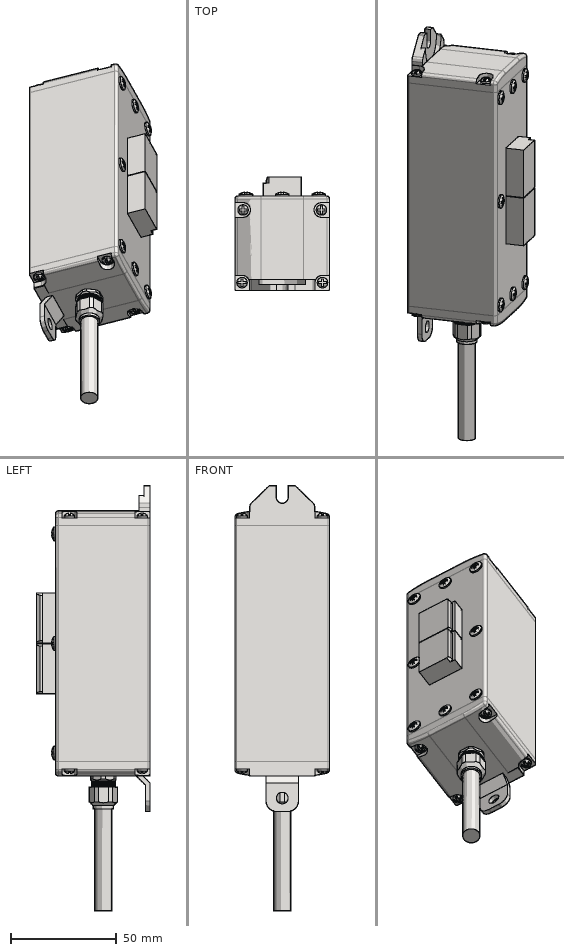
import cadquery as cq
import math

WIDTH = 45.0
DEPTH = 45.0
HEIGHT = 126.0
CAP_HEIGHT = 7.0
FRONT_EDGE_RADIUS = 0.9
BACK_EDGE_RADIUS = 1.6

CROWN_FLAT_HALF = 10.0
CROWN_RADIUS = 45.0
CAP_EDGE_RADIUS = 1.8

CAP_SCREW_DIAMETER = 5.0
CAP_SCREW_HEIGHT = 2.4
FRONT_SCREW_X = 19.1
FRONT_SCREW_Y = 3.8
BACK_SCREW_X = 18.6
BACK_SCREW_Y = 38.3
RECESS_RADIUS = 3.5
RECESS_DEPTH = 3.5

SCREW_RIM = 0.4
CROSS_LENGTH = 3.6
CROSS_WIDTH = 1.0
CROSS_DEPTH = 1.2

COVER_SCREW_DIAMETER = 6.6
COVER_SCREW_HEIGHT = 1.8
COVER_SCREW_X = 17.3
COVER_SCREW_Z = 52.0

LUG_HEIGHT = 11.9
LUG_THICKNESS = 5.3
LUG_HALF_WIDTH = 15.5
LUG_TOP_HALF_WIDTH = 6.1
LUG_SHOULDER = 2.8
LUG_SHOULDER_RADIUS = 3.0
LUG_TOP_RADIUS = 1.0
MOUNT_HOLE_DIAMETER = 5.5
SLOT_CENTRE_DROP = 5.6
COUNTERBORE_RADIUS = 11.0
LUG_THIN = 3.0

BRACKET_WIDTH = 15.5
BRACKET_THICKNESS = 2.3
BRACKET_LENGTH = 16.8
BRACKET_OFFSET = 3.3
BRACKET_CORNER_RADIUS = 5.0
BRACKET_HOLE_DROP = 10.4

GLAND_Y = 22.2
COLLAR_ACROSS_FLATS = 12.2
COLLAR_END = 2.2
COLLAR_DIAMETER = 13.0
COLLAR_TAPER = 0.8
NECK_DIAMETER = 11.4
NECK_GROOVE_COUNT = 3
NECK_GROOVE_WIDTH = 0.5
NECK_GROOVE_DEPTH = 0.4
NUT_START = 5.2
NUT_END = 14.3
NUT_ACROSS_FLATS = 12.6
NUT_DIAMETER = 13.5
NUT_TAPER = 2.1
RING_DIAMETER = 9.8
RING_END = 15.5
CABLE_DIAMETER = 8.2
CABLE_LENGTH = 64.0

BLOCK_HALF_WIDTH = 9.1
BLOCK_BASE_HEIGHT = 6.0
BLOCK_HEIGHT = 9.0
BLOCK_STEP = 1.5
BLOCK_LENGTH = 48.0
BLOCK_GAP = 0.3
PAD_CORNER = 1.2
PAD_BEVEL_DEPTH = 1.8
PAD_BEVEL_WIDTH = 0.6

MIDDLE_Z = HEIGHT / 2
SLOT_CENTRE_Z = HEIGHT + LUG_HEIGHT - SLOT_CENTRE_DROP


def rounded_prism(bottom, height):
    """Housing section with rounded upright edges."""
    prism = cq.Workplane("XY").box(WIDTH, DEPTH, height, centered=(True, False, False))
    prism = prism.edges("|Z and <Y").fillet(FRONT_EDGE_RADIUS)
    prism = prism.edges("|Z and >Y").fillet(BACK_EDGE_RADIUS)
    return prism.translate((0, 0, bottom))


def y_cylinder(radius, x, z, y_start, y_end):
    """Cylinder along Y between two Y positions."""
    cylinder = cq.Workplane("XZ").circle(radius).extrude(y_start - y_end)
    return cylinder.translate((x, y_start, z))


def recess(x, y, open_to_front):
    """Round pocket running out through the nearest side and, if asked, the front."""
    reach = WIDTH / 2
    side = math.copysign(1, x)
    size = 2 * RECESS_RADIUS
    tool = cq.Workplane("XY").circle(RECESS_RADIUS).extrude(RECESS_DEPTH)
    to_side = cq.Workplane("XY").box(reach, size, RECESS_DEPTH, centered=(True, True, False))
    tool = tool.union(to_side.translate((side * reach / 2, 0, 0)))
    if open_to_front:
        to_front = cq.Workplane("XY").box(size, reach, RECESS_DEPTH, centered=(True, True, False))
        tool = tool.union(to_front.translate((0, -reach / 2, 0)))
        corner = cq.Workplane("XY").box(reach, reach, RECESS_DEPTH, centered=(True, True, False))
        tool = tool.union(corner.translate((side * reach / 2, -reach / 2, 0)))
    return tool.translate((x, y, HEIGHT - RECESS_DEPTH))


def screw_head(diameter, height):
    """Domed screw head with a cross recess, standing on Z = 0."""
    radius = diameter / 2
    rim = SCREW_RIM * height
    dome_radius = (radius**2 + (height - rim) ** 2) / (2 * (height - rim))
    dome = cq.Workplane("XY").sphere(dome_radius).translate((0, 0, height - dome_radius))
    head = cq.Workplane("XY").circle(radius).extrude(height).intersect(dome)
    bar = cq.Workplane("XY").box(CROSS_LENGTH, CROSS_WIDTH, 2 * CROSS_DEPTH)
    cross = bar.union(bar.rotate((0, 0, 0), (0, 0, 1), 90))
    return head.cut(cross.translate((0, 0, height)))


def upper_cap():
    """Crowned end cap with a flush pad at the mounting face and four recessed screws."""
    half = WIDTH / 2
    angle = math.asin((half - CROWN_FLAT_HALF) / CROWN_RADIUS)
    side_z = HEIGHT - CROWN_RADIUS * (1 - math.cos(angle))
    mid_x = CROWN_FLAT_HALF + CROWN_RADIUS * math.sin(angle / 2)
    mid_z = HEIGHT - CROWN_RADIUS * (1 - math.cos(angle / 2))
    base_z = HEIGHT - CAP_HEIGHT
    crown = (
        cq.Workplane("XZ")
        .moveTo(-half, base_z)
        .lineTo(half, base_z)
        .lineTo(half, side_z)
        .threePointArc((mid_x, mid_z), (CROWN_FLAT_HALF, HEIGHT))
        .lineTo(-CROWN_FLAT_HALF, HEIGHT)
        .threePointArc((-mid_x, mid_z), (-half, side_z))
        .close()
        .extrude(-DEPTH)
    )
    cap = crown.edges("|Y").edges(">X or <X").edges("not <Z").fillet(CAP_EDGE_RADIUS)
    cap = cap.faces(">Y").edges("not <Z").fillet(BACK_EDGE_RADIUS)
    cap = cap.faces("<Y").edges("not <Z").fillet(FRONT_EDGE_RADIUS)
    pad = cq.Workplane("XY").box(
        2 * LUG_HALF_WIDTH, LUG_THICKNESS, CAP_HEIGHT, centered=(True, False, False)
    )
    cap = cap.union(pad.translate((0, 0, base_z)))
    screw_places = (
        (FRONT_SCREW_X, FRONT_SCREW_Y, True),
        (BACK_SCREW_X, BACK_SCREW_Y, False),
    )
    head = screw_head(CAP_SCREW_DIAMETER, CAP_SCREW_HEIGHT)
    for side in (-1, 1):
        for x, y, at_front in screw_places:
            cap = cap.cut(recess(side * x, y, at_front))
            cap = cap.union(head.translate((side * x, y, HEIGHT - RECESS_DEPTH)))
    return cap


def lug():
    """Upper mounting plate, flush with the mounting face."""
    top_z = HEIGHT + LUG_HEIGHT
    shoulder_z = HEIGHT + LUG_SHOULDER
    base_z = HEIGHT - RECESS_DEPTH
    outline = [
        (-LUG_HALF_WIDTH, base_z),
        (LUG_HALF_WIDTH, base_z),
        (LUG_HALF_WIDTH, shoulder_z),
        (LUG_TOP_HALF_WIDTH, top_z),
        (-LUG_TOP_HALF_WIDTH, top_z),
        (-LUG_HALF_WIDTH, shoulder_z),
    ]
    plate = cq.Workplane("XZ").polyline(outline).close().extrude(-LUG_THICKNESS)
    plate = plate.edges("|Y").edges("<X or >X").edges(">Z").fillet(LUG_SHOULDER_RADIUS)
    return plate.faces(">Z").edges("|Y").fillet(LUG_TOP_RADIUS)


def lug_openings():
    """Open slot through the lug and the counterbore behind it."""
    slot = y_cylinder(MOUNT_HOLE_DIAMETER / 2, 0, SLOT_CENTRE_Z, 0, LUG_THICKNESS)
    throat = cq.Workplane("XY").box(
        MOUNT_HOLE_DIAMETER, LUG_THICKNESS, LUG_HEIGHT, centered=(True, False, False)
    )
    counterbore = y_cylinder(COUNTERBORE_RADIUS, 0, SLOT_CENTRE_Z, LUG_THIN, LUG_THICKNESS)
    return slot.union(throat.translate((0, 0, SLOT_CENTRE_Z))).union(counterbore)


def bracket():
    """Bent strip below the lower cap, with a round hole near its end."""
    bend = BRACKET_THICKNESS * math.tan(math.pi / 8)
    slope_width = BRACKET_THICKNESS * math.sqrt(2)
    side = [
        (0, -BRACKET_LENGTH),
        (0, -BRACKET_OFFSET),
        (BRACKET_OFFSET, 0),
        (BRACKET_OFFSET + slope_width, 0),
        (BRACKET_THICKNESS, -BRACKET_OFFSET - bend),
        (BRACKET_THICKNESS, -BRACKET_LENGTH),
    ]
    strip = cq.Workplane("YZ").polyline(side).close().extrude(BRACKET_WIDTH / 2, both=True)
    strip = strip.edges("|Y and <Z").fillet(BRACKET_CORNER_RADIUS)
    hole = y_cylinder(MOUNT_HOLE_DIAMETER / 2, 0, -BRACKET_HOLE_DROP, 0, BRACKET_THICKNESS)
    return strip.cut(hole)


def hexagon(across_flats, start, end, turn):
    """Hexagonal prism hanging below Z = 0, turned about its axis."""
    corners = across_flats / math.cos(math.pi / 6)
    prism = cq.Workplane("XY").polygon(6, corners).extrude(start - end)
    return prism.rotate((0, 0, 0), (0, 0, 1), turn).translate((0, 0, -start))


def rod(diameter, start, end):
    """Cylinder hanging below Z = 0."""
    return cq.Workplane("XY").workplane(offset=-start).circle(diameter / 2).extrude(start - end)


def grooved_neck():
    """Round neck between collar and nut, with evenly spaced ring grooves."""
    neck = rod(NECK_DIAMETER, 0, NUT_START)
    pitch = (NUT_START - COLLAR_END) / NECK_GROOVE_COUNT
    for index in range(NECK_GROOVE_COUNT):
        start = COLLAR_END + (index + 0.5) * pitch - NECK_GROOVE_WIDTH / 2
        end = start + NECK_GROOVE_WIDTH
        ring = rod(NECK_DIAMETER, start, end).cut(rod(NECK_DIAMETER - 2 * NECK_GROOVE_DEPTH, start, end))
        neck = neck.cut(ring)
    return neck


def gland_and_cable():
    """Cable gland under the lower cap with its cable."""
    nut_blank = rod(NUT_DIAMETER, NUT_START, NUT_END).faces("<Z").chamfer(NUT_TAPER, NUT_TAPER)
    nut = hexagon(NUT_ACROSS_FLATS, NUT_START, NUT_END, 30).intersect(nut_blank)
    collar_blank = rod(COLLAR_DIAMETER, 0, COLLAR_END).faces("<Z").chamfer(COLLAR_TAPER)
    collar = hexagon(COLLAR_ACROSS_FLATS, 0, COLLAR_END, 0).intersect(collar_blank)
    gland = grooved_neck().union(collar).union(nut)
    gland = gland.union(rod(RING_DIAMETER, NUT_START, RING_END))
    gland = gland.union(rod(CABLE_DIAMETER, NUT_START, CABLE_LENGTH))
    return gland.translate((0, GLAND_Y, 0))


def block_modules():
    """Two like modules end to end on the back face, stepped back on the -X side."""
    length = (BLOCK_LENGTH - BLOCK_GAP) / 2
    left = -BLOCK_HALF_WIDTH
    base = cq.Workplane("XY").box(2 * BLOCK_HALF_WIDTH, BLOCK_BASE_HEIGHT, length, centered=(True, False, True))
    pad_outline = [
        (left + BLOCK_STEP, 0),
        (BLOCK_HALF_WIDTH, 0),
        (BLOCK_HALF_WIDTH, BLOCK_HEIGHT),
        (left + BLOCK_STEP + PAD_BEVEL_WIDTH, BLOCK_HEIGHT),
        (left + BLOCK_STEP, BLOCK_HEIGHT - PAD_BEVEL_DEPTH),
    ]
    pad = cq.Workplane("XY").polyline(pad_outline).close().extrude(length / 2, both=True)
    pad = pad.edges("|Y and <X").chamfer(PAD_CORNER)
    module = base.union(pad)
    shift = (length + BLOCK_GAP) / 2
    return [module.translate((0, DEPTH, MIDDLE_Z + side * shift)) for side in (-1, 1)]


def cover_screws():
    """Screw heads on the back face: three per end row, two in the middle row."""
    head = screw_head(COVER_SCREW_DIAMETER, COVER_SCREW_HEIGHT).rotate((0, 0, 0), (1, 0, 0), -90)
    rows = (
        (-COVER_SCREW_Z, (-COVER_SCREW_X, 0, COVER_SCREW_X)),
        (0, (-COVER_SCREW_X, COVER_SCREW_X)),
        (COVER_SCREW_Z, (-COVER_SCREW_X, 0, COVER_SCREW_X)),
    )
    return [head.translate((x, DEPTH, MIDDLE_Z + z)) for z, columns in rows for x in columns]


cap_at_top = upper_cap()
cap_at_bottom = cap_at_top.mirror("XY", (0, 0, MIDDLE_Z))

result = cap_at_top.union(lug()).cut(lug_openings())
result = result.union(rounded_prism(CAP_HEIGHT, HEIGHT - 2 * CAP_HEIGHT), clean=False)
result = result.union(cap_at_bottom, clean=False)
for feature in (bracket(), gland_and_cable(), *block_modules(), *cover_screws()):
    result = result.union(feature, clean=False)